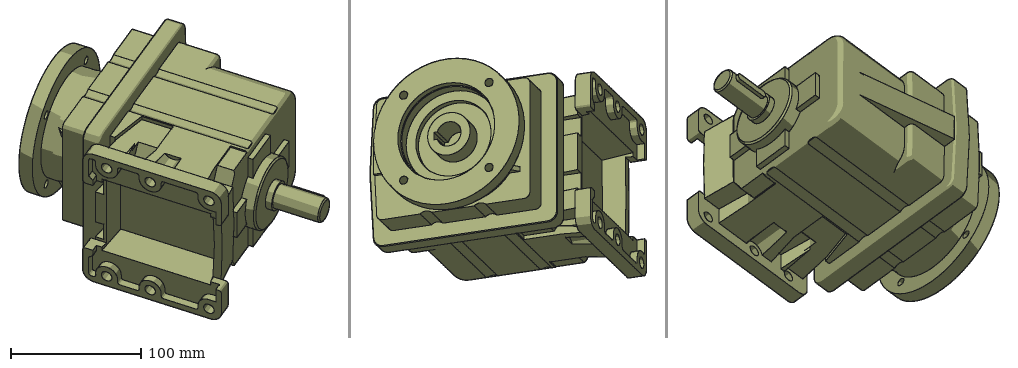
import cadquery as cq
import math


flange_diameter = 120.0
flange_thickness = 11.5
bolt_spacing = 70.5
bolt_diameter = 6.5
neck_diameter = 90.0
neck_flare_diameter = 94.2
neck_end_x = 21.6
spigot_diameter = 80.0
spigot_depth = 5.9
bell_diameter = 78.0
bell_depth = 15.0
inner_bell_diameter = 62.0
inner_bell_depth = 20.5
hub_diameter = 35.0
hub_face_x = 5.5
bore_diameter = 20.0
bore_depth = 28.2
key_width = 6.0
keyway_reach = 12.5

block_start_x = 34.8
block_low_y = -55.2
block_corner_y = 71.0
block_crown_y = 73.3
block_half_z = 50.0
block_corner_radius = 4.7
spine_half_width = 12.7
pad_start_x = 31.7
pad_low_y = 50.5
web_thickness = 4.0
web_z = 25.1
web_start_x = 22.0
web_neck_y = 35.7
web_low_y = -47.2
web_high_y = 53.8

plate_start_x = 58.5
plate_end_x = 73.5
plate_low_y = -68.6
plate_corner_y = 83.2
plate_crown_y = 86.5
plate_half_z = 61.8
plate_corner_radius = 8.2
plate_edge_radius = 2.0
plate_edge_chamfer = 0.7

housing_end_x = 177.2
housing_low_y = -51.0
housing_high_y = 65.8
housing_half_z = 50.0
housing_top_radius = 16.5
housing_end_radius = 4.7
shoulder_end_x = 109.3
shoulder_corner_y = 72.8
shoulder_crown_y = 74.0
shoulder_end_radius = 4.2
gusset_top_y = 84.8
gusset_end_x = 157.7
groove_centres_y = (30.5, -14.0)
groove_width = 9.5
groove_radius = 7.0
label_high_y = -20.0
label_start_x = 85.5
label_low_start_x = 77.5
label_end_x = 112.3
label_depth = 3.3
label_ramp_start_x = 94.5
corner_recess_high_y = -21.5
corner_recess_start_x = 162.0
corner_recess_depth = 1.5
ramp_start_y = -44.6
ramp_foot_z = 37.5

shaft_y = -6.5
end_pad_x = 181.7
end_rib_high_y = 41.4
end_pad_high_y = 8.5
end_pad_low_y = -22.5
end_pad_half_z = 44.6
boss_diameter = 60.0
boss_end_x = 190.0
boss_chamfer = 1.5
collar_diameter = 24.0
collar_end_x = 195.5
shaft_diameter = 20.0
shaft_end_x = 235.0
shaft_chamfer = 1.2
key_start_x = 200.0
key_end_x = 229.8
key_top = 12.5

box_start_x = 77.8
box_end_x = 177.7
box_half_z = 50.0
box_draft = 7.0
rail_top_y = -79.0
rail_bottom_y = -91.5
rail_start_x = 69.5
rail_end_x = 187.8
rail_inner_z = 33.1
rail_outer_z = 65.0
rail_outer_radius = 9.5
rail_inner_radius = 2.4
foot_hole_diameter = 9.0
foot_holes_x = (90.0, 127.1, 177.2)
foot_hole_z = 55.2
foot_boss_radius = 9.5
recess_depth = 6.3
recess_start_x = 74.7
recess_step_x = 78.3
recess_end_x = 183.0
recess_outer_z = 59.7
recess_step_low_z = 38.5
recess_step_high_z = 41.5
recess_corner_radius = 2.0
pocket_start_x = 83.0
pocket_end_x = 175.5
pocket_half_z = 36.5
end_wall_bulge = 1.5
pocket_floor_y = -60.9
pocket_draft = 10.2
wrench_radius = 8.7
recess_narrowing = 3.8
notch_end_x = 81.3
notch_low_z = 15.3
notch_high_z = 30.5


def box(x0, x1, y0, y1, z0, z1):
    return (
        cq.Workplane("XY")
        .box(x1 - x0, y1 - y0, z1 - z0, centered=False)
        .translate((x0, y0, z0))
    )


def disc(diameter, x0, x1, y=0):
    return cq.Workplane("YZ", origin=(x0, y, 0)).circle(diameter / 2).extrude(x1 - x0)


def crowned_slab(x0, x1, low_y, corner_y, crown_y, half_z, radius):
    """Slab across X whose +Y side rises to a crown in the middle."""
    outline = [
        (low_y, -half_z),
        (corner_y, -half_z),
        (crown_y, 0),
        (corner_y, half_z),
        (low_y, half_z),
    ]
    slab = cq.Workplane("YZ", origin=(x0, 0, 0)).polyline(outline).close().extrude(x1 - x0)
    for x_edges in ("|X and >Z", "|X and <Z"):
        slab = slab.edges(x_edges).fillet(radius)
    return slab


def side_plate(points, z_centre, thickness):
    """Flat plate with an outline in X and Y, centred on a height."""
    return (
        cq.Workplane("XY", origin=(0, 0, z_centre - thickness / 2))
        .polyline(points)
        .close()
        .extrude(thickness)
    )


def both_sides(shape):
    return shape.union(shape.mirror("XY"))


def motor_adapter():
    adapter = crowned_slab(
        block_start_x, plate_start_x, block_low_y, block_corner_y, block_crown_y,
        block_half_z, block_corner_radius,
    )
    adapter = adapter.union(box(
        pad_start_x, block_start_x, pad_low_y, block_crown_y - 0.7,
        -spine_half_width, spine_half_width,
    ))
    neck = (
        cq.Workplane("XY")
        .moveTo(0, 0)
        .lineTo(0, flange_diameter / 2)
        .lineTo(flange_thickness, flange_diameter / 2)
        .lineTo(flange_thickness, neck_diameter / 2)
        .lineTo(neck_end_x, neck_diameter / 2)
        .lineTo(block_start_x, neck_flare_diameter / 2)
        .lineTo(block_start_x, 0)
        .close()
        .revolve(360, (0, 0, 0), (1, 0, 0))
    )
    adapter = adapter.union(neck)
    for end_y in (web_low_y, web_high_y):
        side = math.copysign(1, end_y)
        web = side_plate(
            [(web_start_x, side * web_neck_y), (block_start_x, end_y), (block_start_x, 0), (web_start_x, 0)],
            web_z, web_thickness,
        )
        adapter = adapter.union(both_sides(web))

    adapter = adapter.cut(disc(spigot_diameter, 0, spigot_depth))
    adapter = adapter.cut(disc(bell_diameter, 0, bell_depth))
    adapter = adapter.cut(disc(inner_bell_diameter, 0, inner_bell_depth))
    adapter = adapter.union(disc(hub_diameter, hub_face_x, inner_bell_depth))
    adapter = adapter.cut(disc(bore_diameter, hub_face_x, bore_depth))
    adapter = adapter.cut(box(hub_face_x, bore_depth, 0, keyway_reach, -key_width / 2, key_width / 2))
    bolts = (
        cq.Workplane("YZ")
        .rect(bolt_spacing, bolt_spacing, forConstruction=True)
        .vertices()
        .circle(bolt_diameter / 2)
        .extrude(flange_thickness)
    )
    return adapter.cut(bolts)


def joint_plate():
    plate = crowned_slab(
        plate_start_x, plate_end_x, plate_low_y, plate_corner_y, plate_crown_y,
        plate_half_z, plate_corner_radius,
    )
    plate = plate.faces(">X").edges().fillet(plate_edge_radius)
    return plate.faces("<X").edges().chamfer(plate_edge_chamfer)


def gear_housing():
    housing = box(
        plate_end_x, housing_end_x, housing_low_y, housing_high_y, -housing_half_z, housing_half_z
    )
    housing = housing.edges("|X and >Y").fillet(housing_top_radius)
    housing = housing.faces(">X").edges("not <Y").fillet(housing_end_radius)
    shoulder = crowned_slab(
        plate_end_x, shoulder_end_x, housing_low_y, shoulder_corner_y, shoulder_crown_y,
        housing_half_z, block_corner_radius,
    )
    shoulder = shoulder.faces(">X").edges("not <Y").fillet(shoulder_end_radius)
    housing = housing.union(shoulder)
    gusset = side_plate(
        [(plate_end_x, gusset_top_y), (gusset_end_x, housing_high_y), (plate_end_x, housing_high_y)],
        0, 2 * spine_half_width,
    )
    return housing.union(gusset)


def side_grooves():
    """Shallow scallops along both Z faces of the block and the housing."""
    sagitta = groove_radius - math.sqrt(groove_radius ** 2 - (groove_width / 2) ** 2)
    centre_z = housing_half_z + groove_radius - sagitta
    grooves = cq.Workplane("YZ", origin=(block_start_x, 0, 0))
    grooves = grooves.pushPoints([(y, side * centre_z) for y in groove_centres_y for side in (1, -1)])
    return grooves.circle(groove_radius).extrude(housing_end_x - 2.4 - block_start_x)


def ramp(x0, x1, top_z):
    """Wedge cut from a recess floor down to the deep recesses of the foot."""
    outline = [
        (ramp_start_y, top_z),
        (ramp_start_y, housing_half_z),
        (housing_low_y, housing_half_z),
        (housing_low_y, ramp_foot_z),
    ]
    return cq.Workplane("YZ", origin=(x0, 0, 0)).polyline(outline).close().extrude(x1 - x0)


def side_recesses():
    """Label recess and corner recess on both Z faces, each with a ramp to the foot."""
    label = side_plate(
        [
            (label_start_x, label_high_y),
            (label_end_x, label_high_y),
            (label_end_x, housing_low_y),
            (label_low_start_x, housing_low_y),
        ],
        housing_half_z, 2 * label_depth,
    )
    label = label.union(ramp(label_ramp_start_x, label_end_x, housing_half_z - label_depth))
    corner = box(
        corner_recess_start_x, housing_end_x, housing_low_y, corner_recess_high_y,
        housing_half_z - corner_recess_depth, housing_half_z,
    )
    corner = corner.union(ramp(corner_recess_start_x, housing_end_x, housing_half_z - corner_recess_depth))
    return both_sides(label.union(corner))


def output_end():
    end = box(
        housing_end_x - housing_end_radius, end_pad_x, housing_low_y, end_rib_high_y,
        -spine_half_width, spine_half_width,
    )
    end = end.union(box(
        housing_end_x - housing_end_radius, end_pad_x, end_pad_low_y, end_pad_high_y,
        -end_pad_half_z, end_pad_half_z,
    ))
    end = end.union(disc(boss_diameter, housing_end_x, boss_end_x, shaft_y).faces(">X").chamfer(boss_chamfer))
    end = end.union(disc(collar_diameter, boss_end_x, collar_end_x, shaft_y))
    shaft = disc(shaft_diameter, collar_end_x, shaft_end_x, shaft_y).faces(">X").chamfer(shaft_chamfer)
    key = box(key_start_x, key_end_x, shaft_y, shaft_y + key_top, -key_width / 2, key_width / 2)
    key = key.edges("|Y").fillet(0.45 * key_width)
    return end.union(shaft).union(key)


def bulged_outline(x0, x1, half_z):
    """Rectangle in X and Z whose +X side bulges slightly in the middle."""
    return [
        (x0, -half_z),
        (x1, -half_z),
        (x1 + end_wall_bulge, 0),
        (x1, half_z),
        (x0, half_z),
    ]


def foot_box():
    foot = (
        cq.Workplane("XZ", origin=(0, housing_low_y, 0))
        .polyline(bulged_outline(box_start_x, box_end_x, box_half_z))
        .close()
        .extrude(housing_low_y - rail_top_y, taper=-box_draft)
    )
    recess = box(
        rail_start_x, label_ramp_start_x, rail_top_y, housing_low_y,
        housing_half_z - label_depth, rail_outer_z,
    )
    foot = foot.cut(both_sides(recess))
    for x0, x1, right_narrowing in (
        (label_ramp_start_x, label_end_x, recess_narrowing),
        (corner_recess_start_x, rail_end_x, 0),
    ):
        recess = side_plate(
            [
                (x0, housing_low_y),
                (x1, housing_low_y),
                (x1 - right_narrowing, rail_top_y),
                (x0 + recess_narrowing, rail_top_y),
            ],
            (ramp_foot_z + rail_outer_z) / 2, rail_outer_z - ramp_foot_z,
        )
        foot = foot.cut(both_sides(recess))
    wrench_space = (
        cq.Workplane("XZ", origin=(foot_holes_x[1], housing_low_y, foot_hole_z))
        .circle(wrench_radius)
        .extrude(housing_low_y - rail_top_y)
    )
    foot = foot.cut(both_sides(wrench_space))
    notch = box(rail_start_x, notch_end_x, rail_top_y, housing_low_y, notch_low_z, notch_high_z)
    return foot.cut(both_sides(notch))


def foot_rail():
    """Rail on the +Z side, with a recess that leaves a rim and bosses around the holes."""
    rail = box(rail_start_x, rail_end_x, rail_bottom_y, rail_top_y, rail_inner_z, rail_outer_z)
    rail = rail.edges("|Y and >Z").fillet(rail_outer_radius)
    rail = rail.edges("|Y and <Z").fillet(rail_inner_radius)

    floor_y = rail_bottom_y + recess_depth
    outline = [
        (recess_step_x, rail_inner_z),
        (recess_step_x, recess_step_low_z),
        (recess_start_x, recess_step_high_z),
        (recess_start_x, recess_outer_z),
        (recess_end_x, recess_outer_z),
        (recess_end_x, rail_inner_z),
    ]
    recess = cq.Workplane("XZ", origin=(0, floor_y, 0)).polyline(outline).close().extrude(recess_depth)
    for x in foot_holes_x:
        boss = box(
            x - foot_boss_radius, x + foot_boss_radius, rail_bottom_y, floor_y, foot_hole_z, recess_outer_z
        )
        boss = boss.union(
            cq.Workplane("XZ", origin=(x, floor_y, foot_hole_z)).circle(foot_boss_radius).extrude(recess_depth)
        )
        recess = recess.cut(boss)
    recess = recess.cut(box(
        foot_holes_x[-1], recess_end_x, rail_bottom_y, floor_y, foot_hole_z - foot_boss_radius, recess_outer_z
    ))
    recess = recess.edges("|Y").edges(">Z").fillet(recess_corner_radius)
    rail = rail.cut(recess)
    holes = (
        cq.Workplane("XZ", origin=(0, rail_top_y, 0))
        .pushPoints([(x, foot_hole_z) for x in foot_holes_x])
        .circle(foot_hole_diameter / 2)
        .extrude(rail_top_y - rail_bottom_y)
    )
    return rail.cut(holes)


def foot_pocket():
    """Open pocket in the foot, narrowing towards its floor."""
    mouth_y = rail_bottom_y + recess_depth
    outline = bulged_outline(pocket_start_x, pocket_end_x, pocket_half_z)
    pocket = cq.Workplane("XZ", origin=(0, mouth_y, 0)).polyline(outline).close()
    return pocket.extrude(mouth_y - pocket_floor_y, taper=pocket_draft)


result = motor_adapter().union(gear_housing()).cut(side_grooves()).cut(side_recesses())
result = result.union(joint_plate()).union(output_end())
result = result.union(foot_box()).union(both_sides(foot_rail())).cut(foot_pocket())